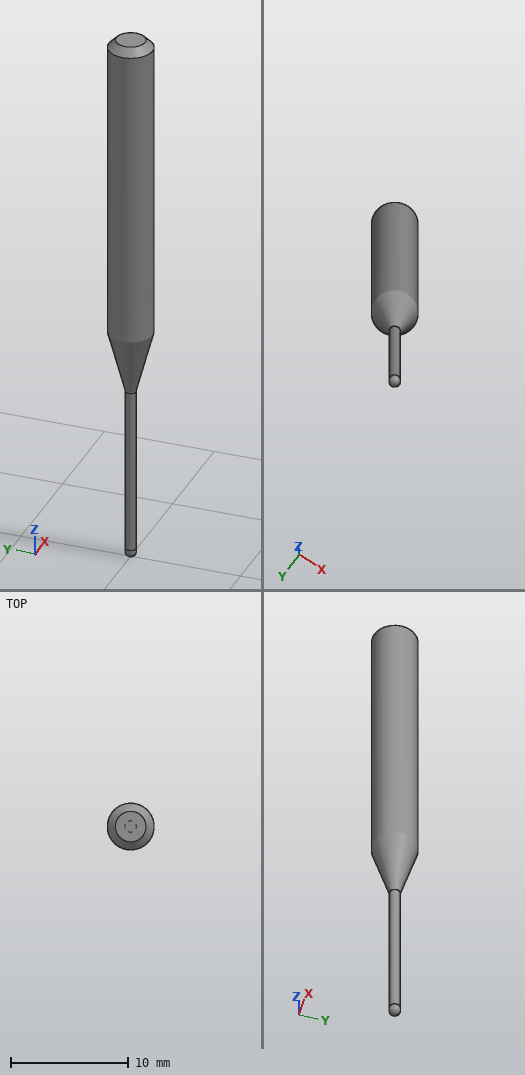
import cadquery as cq
import math

overall_length = 50.0
shank_radius = 2.0
shank_bottom = 21.75
end_chamfer = 0.7

cone_half_angle = math.radians(15)

neck_radius = 0.475
neck_top = 16.0

ball_radius = 0.5
cutter_length = 0.8


def make_shank():
    """Chamfered shank, cone and relieved neck, turned as one solid."""
    land_radius = ball_radius
    cone_length = (shank_radius - land_radius) / math.tan(cone_half_angle)
    cone_bottom = shank_bottom - cone_length

    return (
        cq.Workplane("XZ")
        .moveTo(0, cutter_length)
        .lineTo(neck_radius, cutter_length)
        .lineTo(neck_radius, neck_top)
        .lineTo(land_radius, neck_top)
        .lineTo(land_radius, cone_bottom)
        .lineTo(shank_radius, shank_bottom)
        .lineTo(shank_radius, overall_length - end_chamfer)
        .lineTo(shank_radius - end_chamfer, overall_length)
        .lineTo(0, overall_length)
        .close()
        .revolve(360, (0, 0, 0), (0, 1, 0))
    )


def make_cutter():
    """Short cylinder with a hemispherical tip, slightly wider than the neck."""
    arc_middle = ball_radius * math.sqrt(0.5)
    return (
        cq.Workplane("XZ")
        .moveTo(0, 0)
        .threePointArc((arc_middle, ball_radius - arc_middle), (ball_radius, ball_radius))
        .lineTo(ball_radius, cutter_length)
        .lineTo(0, cutter_length)
        .close()
        .revolve(360, (0, 0, 0), (0, 1, 0))
    )


shank = make_shank()
cutter = make_cutter()

result = cq.Compound.makeCompound([shank.val(), cutter.val()])